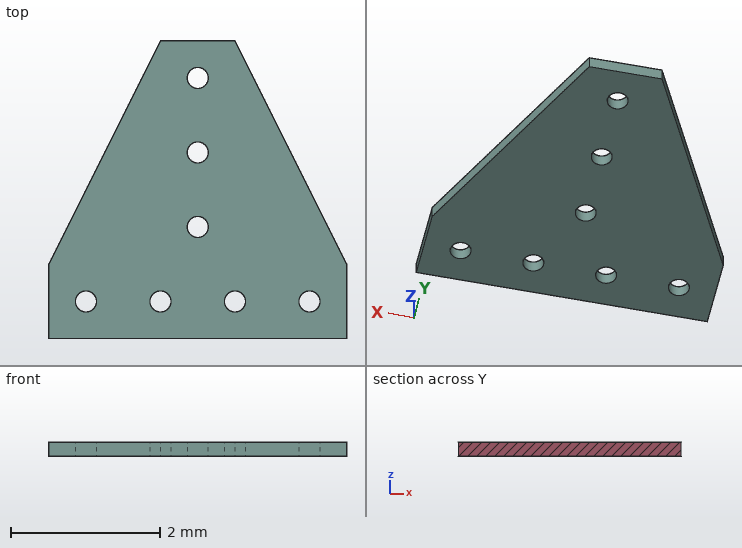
import cadquery as cq

pitch = 1.0
thickness = 0.19
hole_diameter = 0.28
base_hole_count = 4
stem_hole_count = 3

width = base_hole_count * pitch
height = (1 + stem_hole_count) * pitch
base_height = pitch
tip_width = pitch


def plate():
    """Flat plate, symmetric about X = 0, tapering from the base to the tip."""
    outline = [
        (-width / 2, 0),
        (width / 2, 0),
        (width / 2, base_height),
        (tip_width / 2, height),
        (-tip_width / 2, height),
        (-width / 2, base_height),
    ]
    return cq.Workplane("XY").polyline(outline).close().extrude(thickness)


def hole_centers():
    """Centers of the row along the base and the column up the middle."""
    row_y = base_height / 2
    first_x = -(base_hole_count - 1) * pitch / 2
    row = [(first_x + i * pitch, row_y) for i in range(base_hole_count)]
    column = [(0, row_y + (i + 1) * pitch) for i in range(stem_hole_count)]
    return row + column


def hole_cutters():
    """Cylinders that pass through the full thickness."""
    return cq.Workplane("XY").pushPoints(hole_centers()).circle(hole_diameter / 2).extrude(thickness)


result = plate().cut(hole_cutters())